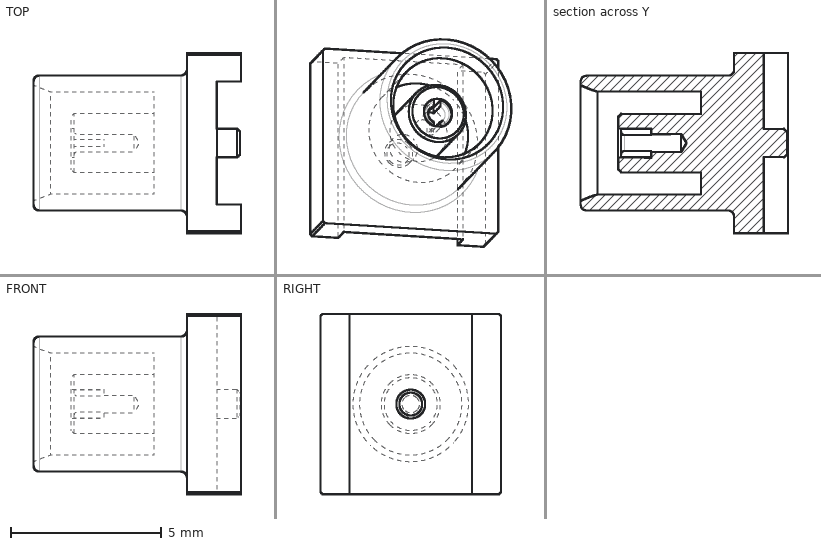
import cadquery as cq
import math

overall_length = 6.9
flange_size = 6.0
flange_thickness = 1.8
flange_corner_chamfer = 0.07
flange_front = overall_length - flange_thickness

channel_width = 4.08
channel_depth = 0.8
channel_floor = overall_length - channel_depth

barrel_radius = 2.25
barrel_fillet = 0.2
bore_radius = 1.7
bore_mouth_radius = 1.92
bore_mouth_depth = 0.57
bore_depth = 4.0

insulator_radius = 0.98
insulator_chamfer = 0.1
insulator_front = 1.25

contact_radius = 0.48
contact_recess = 0.1
contact_front = insulator_front + contact_recess
socket_radius = 0.29
socket_lip_fillet = 0.11
socket_depth = 2.0
socket_tip_angle = 118
contact_slot_width = 0.23
contact_slot_depth = 1.0

pin_length = 0.77
pin_chamfer = 0.1


def cylinder(radius, start, end):
    """Cylinder along the X axis from X = start to X = end."""
    return cq.Workplane("YZ").workplane(offset=start).circle(radius).extrude(end - start)


def make_flange():
    """Square block with chamfered long edges and a channel across its back."""
    block = (
        cq.Workplane("YZ")
        .workplane(offset=flange_front)
        .rect(flange_size, flange_size)
        .extrude(flange_thickness)
        .edges("|X")
        .chamfer(flange_corner_chamfer)
    )
    channel = (
        cq.Workplane("YZ")
        .workplane(offset=channel_floor)
        .rect(channel_width, flange_size)
        .extrude(channel_depth)
    )
    return block.cut(channel)


def make_barrel():
    """Solid cylinder with a rounded rim and a fillet where it meets the flange."""
    diagonal = barrel_fillet * math.sin(math.radians(45))
    rim_radius = barrel_radius - barrel_fillet
    root_radius = barrel_radius + barrel_fillet
    root_start = flange_front - barrel_fillet
    profile = (
        cq.Workplane("XY")
        .lineTo(0, rim_radius)
        .threePointArc(
            (barrel_fillet - diagonal, rim_radius + diagonal),
            (barrel_fillet, barrel_radius),
        )
        .lineTo(root_start, barrel_radius)
        .threePointArc(
            (root_start + diagonal, root_radius - diagonal),
            (flange_front, root_radius),
        )
        .lineTo(flange_front, 0)
        .close()
    )
    return profile.revolve(360, (0, 0, 0), (1, 0, 0))


def make_bore():
    """Flat-bottomed bore with a tapered mouth."""
    profile = (
        cq.Workplane("XY")
        .lineTo(0, bore_mouth_radius)
        .lineTo(bore_mouth_depth, bore_radius)
        .lineTo(bore_depth, bore_radius)
        .lineTo(bore_depth, 0)
        .close()
    )
    return profile.revolve(360, (0, 0, 0), (1, 0, 0))


def make_insulator():
    """Chamfered post with a shallow recess down to the contact tip."""
    post = cylinder(insulator_radius, insulator_front, bore_depth).faces("<X").chamfer(insulator_chamfer)
    return post.cut(cylinder(contact_radius, insulator_front, contact_front))


def make_contact_socket():
    """Blind hole with a rounded lip and a conical bottom."""
    diagonal = socket_lip_fillet * math.sin(math.radians(45))
    lip_radius = socket_radius + socket_lip_fillet
    lip_end = contact_front + socket_lip_fillet
    socket_end = contact_front + socket_depth
    tip_length = socket_radius / math.tan(math.radians(socket_tip_angle / 2))
    profile = (
        cq.Workplane("XY")
        .moveTo(contact_front, 0)
        .lineTo(contact_front, lip_radius)
        .threePointArc((lip_end - diagonal, lip_radius - diagonal), (lip_end, socket_radius))
        .lineTo(socket_end, socket_radius)
        .lineTo(socket_end + tip_length, 0)
        .close()
    )
    return profile.revolve(360, (0, 0, 0), (1, 0, 0))


def make_contact_slot():
    """Vertical slot through the contact tip, no wider than the contact."""
    slot = (
        cq.Workplane("YZ")
        .workplane(offset=contact_front)
        .rect(contact_slot_width, 2 * contact_radius)
        .extrude(contact_slot_depth)
    )
    return slot.intersect(cylinder(contact_radius, contact_front, contact_front + contact_slot_depth))


def make_pin():
    """Solder pin standing on the channel floor."""
    return cylinder(contact_radius, channel_floor, channel_floor + pin_length).faces(">X").chamfer(pin_chamfer)


result = (
    make_barrel()
    .union(make_flange())
    .cut(make_bore())
    .union(make_insulator())
    .cut(make_contact_socket())
    .cut(make_contact_slot())
    .union(make_pin())
)